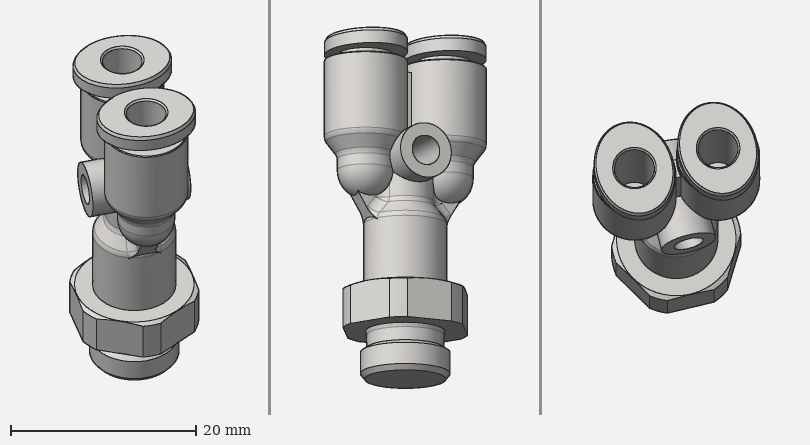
import cadquery as cq
import math

thread_radius = 4.85
thread_height = 3.4
thread_tip_chamfer = 0.6
thread_tip_radius = 4.37
thread_end_chamfer = 0.45
relief_radius = 4.18
relief_flare = 0.12
relief_flare_height = 0.45
hex_sides = 6
hex_base = 5.3
hex_top = 9.8
hex_across_flats = 13.0
hex_corner_radius = 7.0
hex_top_radius = 6.45
hex_chamfer_height = 0.22

body_radius = 4.5
neck_radius = 3.1
cone_height = 1.85
cone_blend = 1.0
stem_cone_base = 17.45
branch_offset = 4.65
branch_cone_base = 24.25
branch_ball_center = 22.7
branch_top = 34.9
branch_rim_chamfer = 0.1

boss_radius = 3.0
boss_hole_radius = 1.62
boss_length = 11.0
boss_center = 24.23

web_thickness = 2.0
web_top = 33.8
gusset_foot_half_width = 4.4
gusset_foot = 17.45
gusset_top_half_width = 6.1
gusset_top = 20.2
gusset_blend = 1.4

collar_radius = 2.82
cap_base = 35.65
cap_top = 37.4
cap_x_radius = 4.28
cap_y_radius = 5.4
cap_chamfer_height = 0.35
cap_chamfer_width = 0.2
bore_radius = 2.15
bore_chamfer = 0.2
bore_bottom = branch_cone_base + cone_height

tolerance = 0.01


def cylinder(radius, bottom, top):
    return cq.Workplane("XY").workplane(offset=bottom).circle(radius).extrude(top - bottom)


def revolve_profile(points):
    """Turn an (r, z) outline around the Z axis."""
    return cq.Workplane("XZ").polyline(points).close().revolve(360, (0, 0), (0, 1))


def blend_at_heights(solid, heights):
    """Round the circular edges lying at the given heights."""
    reach = 2 * body_radius
    for height in heights:
        low_corner = (-reach, -reach, height - tolerance)
        high_corner = (reach, reach, height + tolerance)
        level = cq.selectors.BoxSelector(low_corner, high_corner, boundingbox=True)
        solid = solid.edges(level).fillet(cone_blend)
    return solid


def threaded_end():
    return revolve_profile([
        (0, 0),
        (thread_tip_radius, 0),
        (thread_radius, thread_tip_chamfer),
        (thread_radius, thread_height - thread_end_chamfer),
        (relief_radius, thread_height),
        (relief_radius, hex_base - relief_flare_height),
        (relief_radius + relief_flare, hex_base),
        (0, hex_base),
    ])


def hexagon():
    height = hex_top - hex_base
    across_corners = hex_across_flats / math.cos(math.pi / hex_sides)
    prism = (
        cq.Workplane("XY").workplane(offset=hex_base)
        .polygon(hex_sides, across_corners).extrude(height)
    )
    rounding = revolve_profile([
        (0, hex_base),
        (hex_corner_radius, hex_base),
        (hex_corner_radius, hex_top - hex_chamfer_height),
        (hex_top_radius, hex_top),
        (0, hex_top),
    ])
    return prism.intersect(rounding)


def stem():
    cone_top = stem_cone_base + cone_height
    profile = revolve_profile([
        (0, hex_top),
        (body_radius, hex_top),
        (body_radius, stem_cone_base),
        (neck_radius, cone_top),
        (neck_radius, boss_center),
        (0, boss_center),
    ])
    return blend_at_heights(profile, [stem_cone_base, cone_top])


def is_gusset_root(edge):
    """True for an edge where a flat side of the gusset plate meets the stem."""
    box = edge.BoundingBox()
    on_plate_side = box.ylen < tolerance and abs(abs(box.center.y) - web_thickness / 2) < tolerance
    on_stem = max(abs(box.xmin), abs(box.xmax)) < body_radius + tolerance
    return on_plate_side and on_stem and box.zlen > tolerance


def gusset_outline():
    """Slab bounded by the sloped outer edges of the gussets."""
    rise_per_width = (gusset_top - gusset_foot) / (gusset_top_half_width - gusset_foot_half_width)
    apex = gusset_foot - gusset_foot_half_width * rise_per_width
    return (
        cq.Workplane("XZ")
        .polyline([
            (0, apex),
            (gusset_top_half_width, gusset_top),
            (gusset_top_half_width, boss_center),
            (-gusset_top_half_width, boss_center),
            (-gusset_top_half_width, gusset_top),
        ]).close()
        .extrude(body_radius, both=True)
    )


def stem_with_gussets():
    """Blend a full-height plate into the stem, then trim it to the sloped outline."""
    plain_stem = stem()
    plate_width = 4 * body_radius
    plate = (
        cq.Workplane("XY").workplane(offset=hex_top)
        .rect(plate_width, web_thickness).extrude(boss_center - hex_top)
    )
    joined = plain_stem.union(plate)
    roots = [edge for edge in joined.edges().vals() if is_gusset_root(edge)]
    blended = joined.newObject(roots).fillet(gusset_blend)
    return blended.intersect(gusset_outline()).union(plain_stem)


def web():
    height = web_top - boss_center
    return (
        cq.Workplane("XY").workplane(offset=boss_center)
        .rect(2 * branch_offset, web_thickness).extrude(height)
    )


def branch(x):
    cone_top = branch_cone_base + cone_height
    profile = revolve_profile([
        (0, branch_ball_center),
        (neck_radius, branch_ball_center),
        (neck_radius, branch_cone_base),
        (body_radius, cone_top),
        (body_radius, branch_top - branch_rim_chamfer),
        (body_radius - branch_rim_chamfer, branch_top),
        (0, branch_top),
    ])
    shell = blend_at_heights(profile, [branch_cone_base, cone_top])
    ball = cq.Workplane("XY").sphere(neck_radius).translate((0, 0, branch_ball_center))
    return shell.union(ball).translate((x, 0, 0))


def release_sleeve(x):
    collar = cylinder(collar_radius, branch_top, cap_base)
    cap_edge = cap_top - cap_chamfer_height
    cap = (
        cq.Workplane("XY").workplane(offset=cap_base)
        .ellipse(cap_x_radius, cap_y_radius).extrude(cap_edge - cap_base)
    )
    rim = (
        cq.Workplane("XY").workplane(offset=cap_edge)
        .ellipse(cap_x_radius, cap_y_radius)
        .workplane(offset=cap_chamfer_height)
        .ellipse(cap_x_radius - cap_chamfer_width, cap_y_radius - cap_chamfer_width)
        .loft()
    )
    return collar.union(cap).union(rim).translate((x, 0, 0))


def tube_bore(x):
    return revolve_profile([
        (0, bore_bottom),
        (bore_radius, bore_bottom),
        (bore_radius, cap_top - bore_chamfer),
        (bore_radius + bore_chamfer, cap_top),
        (0, cap_top),
    ]).translate((x, 0, 0))


def cross_cylinder(radius):
    return (
        cq.Workplane("XZ").center(0, boss_center).circle(radius)
        .extrude(boss_length / 2, both=True)
    )


result = stem_with_gussets()
result = result.union(web()).union(threaded_end()).union(hexagon())
result = result.union(cross_cylinder(boss_radius))
for side in (-1, 1):
    x = side * branch_offset
    result = result.union(branch(x)).union(release_sleeve(x)).cut(tube_bore(x))
result = result.cut(cross_cylinder(boss_hole_radius))